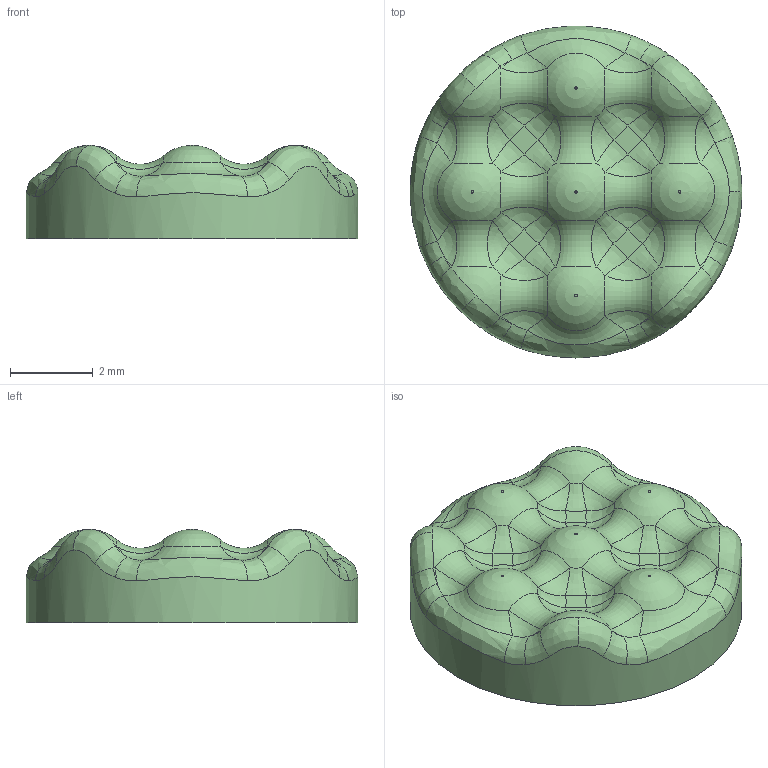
import cadquery as cq
import math

disc_diameter = 8.0
total_height = 2.25
floor_height = 1.5
bump_pitch = 2.5
bumps_per_side = 3
bump_radius = 1.07
valley_radius = 0.87
rim_fillet_radius = 0.5
tip_flat_radius = 0.03

disc_radius = disc_diameter / 2
half_pitch = bump_pitch / 2
bump_centre_z = total_height - math.sqrt(bump_radius**2 - tip_flat_radius**2)
apex_z = bump_centre_z + bump_radius

centre_distance = bump_radius + valley_radius
contact_ratio = bump_radius / centre_distance
ball_centre_z = floor_height + valley_radius
ball_rise = ball_centre_z - bump_centre_z

foot_radius = math.sqrt(centre_distance**2 - ball_rise**2)
dome_edge_radius = foot_radius * contact_ratio
dome_edge_z = bump_centre_z + ball_rise * contact_ratio

ball_offset = math.sqrt(foot_radius**2 - half_pitch**2)
saddle_sweep_radius = math.hypot(ball_offset, ball_rise)
saddle_half_angle = math.degrees(math.atan2(ball_offset, ball_rise))
saddle_corner_x = half_pitch * (1 - contact_ratio)
saddle_corner_y = ball_offset * contact_ratio

last_row = (bumps_per_side - 1) / 2 * bump_pitch
rows = [i * bump_pitch - last_row for i in range(bumps_per_side)]
gaps = [row + half_pitch for row in rows[:-1]]
slab_side = 2 * (last_row + bump_pitch)


def point_on_circle(centre, radius, angle):
    return (centre[0] + radius * math.cos(angle), centre[1] + radius * math.sin(angle))


def make_bump():
    """Domed column on the Z axis whose foot flares out to the floor."""
    contact_angle = math.atan2(ball_rise, foot_radius)
    middle_angle = (contact_angle + math.pi / 2) / 2
    dome_middle = point_on_circle((0, bump_centre_z), bump_radius, middle_angle)
    flare_middle = point_on_circle((foot_radius, ball_centre_z), valley_radius, middle_angle + math.pi)
    return (
        cq.Workplane("XZ")
        .lineTo(0, apex_z)
        .threePointArc(dome_middle, (dome_edge_radius, dome_edge_z))
        .threePointArc(flare_middle, (foot_radius, floor_height))
        .lineTo(foot_radius, 0)
        .close()
        .revolve(360, (0, 0), (0, 1))
    )


def make_saddle_column():
    """Six-sided column that fills the gap between two bumps standing along X."""
    corners = [
        (0, ball_offset),
        (saddle_corner_x, saddle_corner_y),
        (saddle_corner_x, -saddle_corner_y),
        (0, -ball_offset),
        (-saddle_corner_x, -saddle_corner_y),
        (-saddle_corner_x, saddle_corner_y),
    ]
    return cq.Workplane("XY").polyline(corners).close().extrude(ball_centre_z)


def make_saddle(column):
    """Saddle column hollowed by the ball rolling across the gap from floor to floor."""
    pivot = (0, 0, bump_centre_z)
    pivot_ahead = (1, 0, bump_centre_z)
    ball_path = (
        cq.Workplane("XZ", origin=pivot)
        .center(0, saddle_sweep_radius)
        .circle(valley_radius)
        .revolve(2 * saddle_half_angle, (-1, -saddle_sweep_radius), (1, -saddle_sweep_radius))
        .rotate(pivot, pivot_ahead, -saddle_half_angle)
    )
    saddle = column.cut(ball_path)
    for side in (-1, 1):
        ball = cq.Workplane("XY").sphere(valley_radius)
        saddle = saddle.cut(ball.translate((0, side * ball_offset, ball_centre_z)))
    return saddle


def place_in_gaps(shape):
    """Copies of a saddle shape in all gaps, along X and along Y."""
    turned = shape.rotate((0, 0, 0), (0, 0, 1), 90)
    along_x = [shape.translate((x, y, 0)) for x in gaps for y in rows]
    along_y = [turned.translate((x, y, 0)) for x in rows for y in gaps]
    return along_x + along_y


def make_wavy_slab():
    """Square slab with the smooth bump pattern, built from cells that meet side by side."""
    column = make_saddle_column()
    columns = [placed.val() for placed in place_in_gaps(column)]
    saddles = [placed.val() for placed in place_in_gaps(make_saddle(column))]
    bump = make_bump()
    bumps = [bump.translate((x, y, 0)).val() for x in rows for y in rows]
    slab = cq.Workplane("XY").rect(slab_side, slab_side).extrude(floor_height).val()
    floor_cell = slab.cut(*bumps, *columns)
    bump_cells = [placed.cut(*columns) for placed in bumps]
    return cq.Workplane(floor_cell.fuse(*bump_cells, *saddles).clean())


def make_disc(height):
    return cq.Workplane("XY").circle(disc_radius).extrude(height)


def is_rim_edge(edge):
    """True for the edges where the wavy top meets the round wall."""
    tolerance = 0.001
    distances = [math.hypot(p.x, p.y) for p in edge.positions([0, 0.5, 1])]
    on_wall = all(abs(distance - disc_radius) < tolerance for distance in distances)
    return on_wall and edge.BoundingBox().zmin > floor_height / 2


wavy_disc = make_wavy_slab().intersect(make_disc(apex_z))
rim_edges = [edge for edge in wavy_disc.edges().vals() if is_rim_edge(edge)]
rounded_disc = wavy_disc.newObject(rim_edges).fillet(rim_fillet_radius)

result = rounded_disc.intersect(make_disc(total_height))